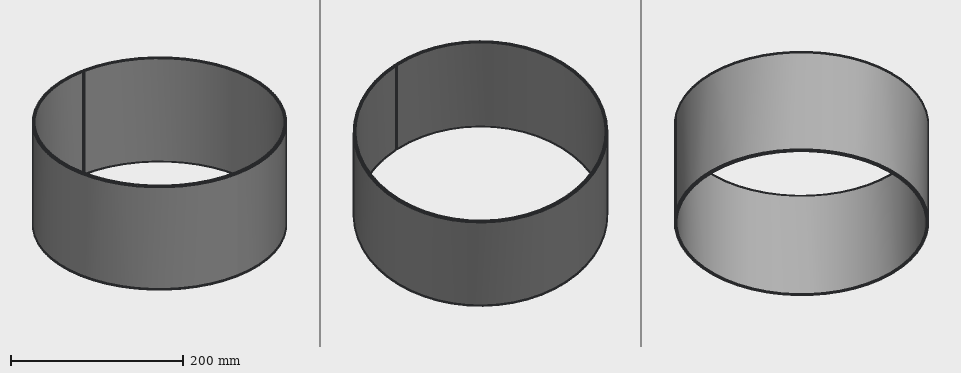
import cadquery as cq

outer_diameter = 295.0
height = 140.0
wall = 2.5
outer_bevel_height = 1.8
outer_bevel_width = 0.5
inner_chamfer = 0.5
split_width = 2.5

outer_radius = outer_diameter / 2
inner_radius = outer_radius - wall
rim_outer_radius = outer_radius - outer_bevel_width
rim_inner_radius = inner_radius + inner_chamfer


def bevelled_band():
    """Thin ring standing on Z = 0, with a steep bevel outside and a small chamfer inside each rim."""
    wall_section = [
        (inner_radius, inner_chamfer),
        (rim_inner_radius, 0),
        (rim_outer_radius, 0),
        (outer_radius, outer_bevel_height),
        (outer_radius, height - outer_bevel_height),
        (rim_outer_radius, height),
        (rim_inner_radius, height),
        (inner_radius, height - inner_chamfer),
    ]
    return cq.Workplane("XZ").polyline(wall_section).close().revolve(360, (0, 0), (0, 1))


def split_cutter():
    """Block for the full-height split on the -X side, with one face on Y = 0."""
    return cq.Workplane("XY").box(
        outer_diameter, split_width, height, centered=(False, False, False)
    ).translate((-outer_diameter, 0, 0))


result = bevelled_band().cut(split_cutter())